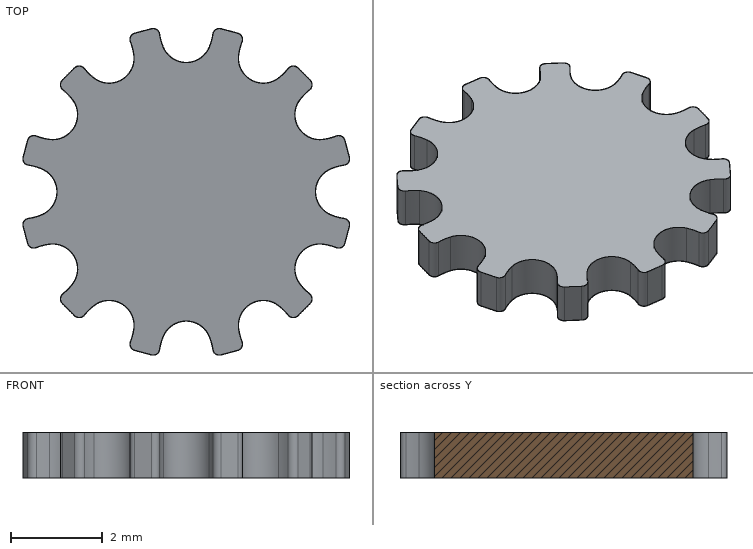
import cadquery as cq
import math

tooth_count = 12
thickness = 1.0
tip_apothem = 3.635
root_radius = 2.82
seat_radius = 0.54
seat_half_width = 0.5
flank_radius = 1.18
tip_fillet = 0.14
cutter_end = 3.78

pitch_angle = 360 / tooth_count
seat_centre = root_radius + seat_radius

seat_angle = math.asin(seat_half_width / seat_radius)
junction_y = seat_centre - seat_radius * math.cos(seat_angle)
centre_shift = flank_radius - seat_radius
flank_centre_x = -centre_shift * math.sin(seat_angle)
flank_centre_y = seat_centre + centre_shift * math.cos(seat_angle)


def flank_x(y):
    """Half width of a gap on its flank, at height y."""
    return flank_centre_x + math.sqrt(flank_radius**2 - (y - flank_centre_y) ** 2)


def gap_cutter():
    """One gap between teeth, centred on the +Y axis."""
    middle_y = (junction_y + cutter_end) / 2
    end_x = flank_x(cutter_end)
    middle_x = flank_x(middle_y)
    return (
        cq.Workplane("XY")
        .moveTo(-end_x, cutter_end)
        .threePointArc((-middle_x, middle_y), (-seat_half_width, junction_y))
        .threePointArc((0, root_radius), (seat_half_width, junction_y))
        .threePointArc((middle_x, middle_y), (end_x, cutter_end))
        .close()
        .extrude(thickness)
    )


corner_diameter = 2 * tip_apothem / math.cos(math.pi / tooth_count)
wheel = cq.Workplane("XY").polygon(tooth_count, corner_diameter).extrude(thickness)

for index in range(tooth_count):
    wheel = wheel.cut(gap_cutter().rotate((0, 0, 0), (0, 0, 1), index * pitch_angle))


def is_tip_corner(edge):
    """True for the upright edges at the two corners of each tooth tip."""
    centre = edge.Center()
    return math.hypot(centre.x, centre.y) > tip_apothem


tip_corners = [edge for edge in wheel.edges("|Z").vals() if is_tip_corner(edge)]
result = wheel.newObject(tip_corners).fillet(tip_fillet)